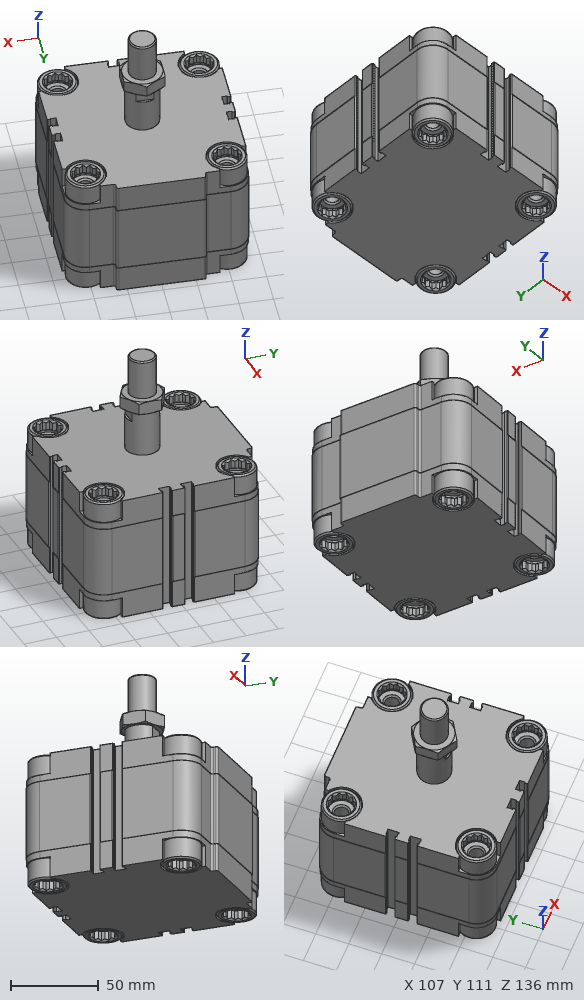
import cadquery as cq
import math

total_height = 136.0
housing_height = 76.2
band_base = 16.6
band_height = housing_height - 2 * band_base

width = 107.0
half_width = width / 2
screw_spacing = 82.0
screw_offset = screw_spacing / 2
corner_radius = half_width - screw_offset
pad_half_width = 26.2
pad_height = 4.0
pad_blend = 1.2
band_step = 0.3

slot_pitch = 13.6
slot_neck_width = 5.2
slot_body_width = 6.5
slot_depth = 5.5
slot_lip = 2.3
slot_chamfer = 0.5

screw_hole_diameter = 8.5
hole_mouth_diameter = 10.5
head_diameter = 23.0
head_chamfer = 1.0
pocket_diameter = 23.8
pocket_depth = 12.5
pocket_side = 18.9
socket_mouth_diameter = 17.3
socket_mouth_depth = 1.4
socket_across_flats = 14.1
socket_depth = 6.1
relief_depth = 7.8

rod_diameter = 20.0
rod_flat_distance = 17.0
rod_flat_height = 7.0
thread_diameter = 16.0
thread_chamfer = 0.8
nut_bottom = 104.0
nut_height = 8.0
nut_across_flats = 24.0
nut_face_diameter = 23.5
nut_corner_drop = 0.7


def hexagon_diameter(across_flats):
    """Diameter through the corners of a regular hexagon."""
    return across_flats / math.cos(math.pi / 6)


def cone(bottom_diameter, top_diameter, height, base):
    """Truncated cone on the Z axis that starts at the height base."""
    return cq.Workplane(
        cq.Solid.makeCone(bottom_diameter / 2, top_diameter / 2, height, pnt=cq.Vector(0, 0, base))
    )


def profile_block(height, inset):
    """Rounded square block with the pad, all its sides moved inwards by the inset."""
    side = half_width - inset
    block = cq.Workplane("XY").rect(2 * side, 2 * side).extrude(height)
    block = block.edges("|Z").fillet(corner_radius - inset)

    pad_x = pad_half_width - inset
    pad_y = side + pad_height
    pad = cq.Workplane("XY").center(0, pad_y / 2).rect(2 * pad_x, pad_y).extrude(height)
    pad = pad.edges("|Z and >Y").fillet(pad_blend)
    block = block.union(pad)
    pad_roots = cq.selectors.BoxSelector(
        (-half_width, side - pad_blend, 0), (half_width, side + pad_blend, height)
    )
    return block.edges("|Z").edges(pad_roots).fillet(pad_blend)


def sensor_slot():
    """T-shaped slot through the full height, open to the -Y side and centred on X = 0."""
    outer_y = -half_width
    lip_y = outer_y + slot_lip
    floor_y = outer_y + slot_depth
    chamfer_y = outer_y + band_step + slot_chamfer
    neck_x = slot_neck_width / 2
    mouth_x = neck_x + slot_chamfer
    body_x = slot_body_width / 2
    outline = [
        (-mouth_x, outer_y),
        (-neck_x, chamfer_y),
        (-neck_x, lip_y),
        (-body_x, lip_y),
        (-body_x, floor_y),
        (body_x, floor_y),
        (body_x, lip_y),
        (neck_x, lip_y),
        (neck_x, chamfer_y),
        (mouth_x, outer_y),
    ]
    return cq.Workplane("XY").polyline(outline).close().extrude(housing_height)


def screw_pocket():
    """Clearance around one screw head, open to the +X and +Y sides; the screw axis is the Z axis."""
    floor = housing_height - pocket_depth
    inner_edge = half_width - pocket_side - screw_offset
    round_part = cq.Workplane("XY").circle(pocket_diameter / 2).extrude(pocket_depth)
    square_part = cq.Workplane("XY").box(pocket_side, pocket_side, pocket_depth, centered=False)
    square_part = square_part.translate((inner_edge, inner_edge, 0))
    return round_part.union(square_part).translate((0, 0, floor))


def screw_head():
    """Chamfered screw head, flush with the top of the housing; the screw axis is the Z axis."""
    head = cq.Workplane("XY", origin=(0, 0, housing_height - pocket_depth))
    head = head.circle(head_diameter / 2).extrude(pocket_depth)
    return head.faces(">Z").chamfer(head_chamfer)


def screw_socket():
    """Twelve-point socket with its conical mouth, relief and hole mouth; the screw axis is the Z axis."""
    corner_diameter = hexagon_diameter(socket_across_flats)
    socket_mouth_base = socket_mouth_diameter - 2 * socket_mouth_depth
    socket = cone(
        socket_mouth_base,
        socket_mouth_diameter,
        socket_mouth_depth,
        housing_height - socket_mouth_depth,
    )
    hexagon = cq.Workplane("XY", origin=(0, 0, housing_height - socket_depth))
    hexagon = hexagon.polygon(6, corner_diameter).extrude(socket_depth)
    for angle in (0, 30):
        socket = socket.union(hexagon.rotate((0, 0, 0), (0, 0, 1), angle))

    floor = housing_height - relief_depth
    relief = cq.Workplane("XY", origin=(0, 0, floor))
    relief = relief.circle(corner_diameter / 2).extrude(relief_depth - socket_depth)
    mouth_depth = (hole_mouth_diameter - screw_hole_diameter) / 2
    hole_mouth = cone(screw_hole_diameter, hole_mouth_diameter, mouth_depth, floor - mouth_depth)
    return socket.union(relief).union(hole_mouth)


def at_both_ends(shape):
    """The shape at the top of the housing together with its mirror image at the bottom."""
    middle = (0, 0, housing_height / 2)
    return shape.union(shape.mirror("XY", middle))


def at_corner(shape, angle):
    """The shape moved from the Z axis to a screw axis, turned with its corner."""
    moved = shape.translate((screw_offset, screw_offset, 0))
    return moved.rotate((0, 0, 0), (0, 0, 1), angle)


def make_housing():
    """Housing with its raised middle band, sensor slots and eight hollow corner screws."""
    housing = profile_block(housing_height, band_step)
    band = profile_block(band_height, 0)
    housing = housing.union(band.translate((0, 0, band_base)))

    slot = sensor_slot()
    for side_angle in (-90, 0, 90):
        for shift in (-slot_pitch / 2, slot_pitch / 2):
            placed = slot.translate((shift, 0, 0)).rotate((0, 0, 0), (0, 0, 1), side_angle)
            housing = housing.cut(placed)

    pocket = at_both_ends(screw_pocket())
    head = at_both_ends(screw_head())
    socket = at_both_ends(screw_socket())
    hole = cq.Workplane("XY").circle(screw_hole_diameter / 2).extrude(housing_height)
    for angle in (0, 90, 180, 270):
        housing = housing.cut(at_corner(pocket, angle))
        housing = housing.union(at_corner(head, angle))
        housing = housing.cut(at_corner(socket, angle))
        housing = housing.cut(at_corner(hole, angle))
    return housing


def make_rod():
    """Piston rod that stands on the housing, with two wrench flats and a chamfered thread."""
    rod = cq.Workplane("XY", origin=(0, 0, housing_height))
    rod = rod.circle(rod_diameter / 2).extrude(nut_bottom - housing_height)
    flat_depth = (rod_diameter - rod_flat_distance) / 2
    flat = cq.Workplane("XY").box(
        rod_diameter, flat_depth, rod_flat_height, centered=(True, False, False)
    )
    flat = flat.translate((0, rod_flat_distance / 2, nut_bottom - rod_flat_height))
    rod = rod.cut(flat).cut(flat.mirror("XZ"))

    thread = cq.Workplane("XY", origin=(0, 0, nut_bottom))
    thread = thread.circle(thread_diameter / 2).extrude(total_height - nut_bottom)
    thread = thread.faces(">Z").chamfer(thread_chamfer)
    return rod.union(thread)


def make_nut():
    """Hex nut with two corners on the Y axis and a conical chamfer on both faces."""
    corner_diameter = hexagon_diameter(nut_across_flats)
    hexagon = cq.Workplane("XY").polygon(6, corner_diameter).extrude(nut_height)
    hexagon = hexagon.rotate((0, 0, 0), (0, 0, 1), 90)

    face_x = nut_face_diameter / 2
    corner_x = corner_diameter / 2
    half_section = [
        (0, 0),
        (face_x, 0),
        (corner_x, nut_corner_drop),
        (corner_x, nut_height - nut_corner_drop),
        (face_x, nut_height),
        (0, nut_height),
    ]
    envelope = cq.Workplane("XZ").polyline(half_section).close().revolve(360, (0, 0, 0), (0, 1, 0))
    hole = cq.Workplane("XY").circle(thread_diameter / 2).extrude(nut_height)
    return hexagon.intersect(envelope).cut(hole).translate((0, 0, nut_bottom))


housing = make_housing()
piston_rod = make_rod()
nut = make_nut()

result = cq.Compound.makeCompound([housing.val(), piston_rod.val(), nut.val()])